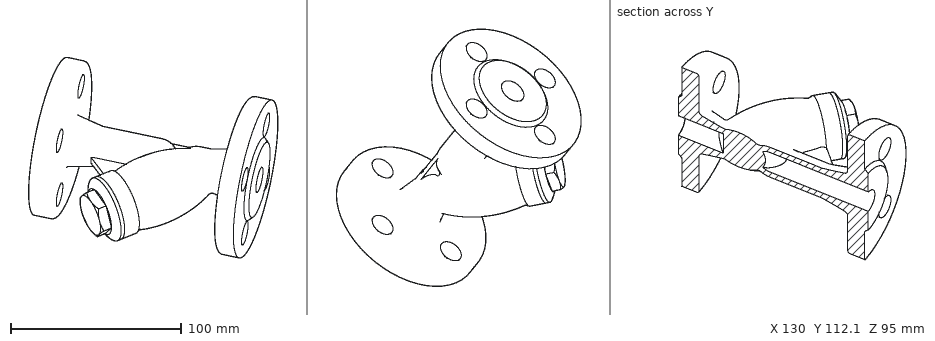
import cadquery as cq
import math


length = 130.0
flange_diameter = 95.0
flange_thickness = 12.0
flange_rim_fillet = 2.0
raised_face_radius = 25.0
raised_face_height = 2.3
bolt_circle_radius = 32.5
bolt_hole_diameter = 14.0
bolt_hole_count = 4

pipe_radius = 12.1
bore_radius = 7.5
neck_radius = 15.7
neck_length = 17.4
neck_fillet = 2.5
inlet_arm_end = 2.7
outlet_arm_end = 26.4

branch_start_x = 32.5
barrel_radius = 20.9
barrel_arc_radius = 75.4
barrel_widest_station = 35.1
barrel_start_station = -1.3
barrel_end_station = 53.4
branch_root_fillet = 2.5
collar_radius = 19.9
collar_station = 56.0
collar_neck_fillet = 1.0

cap_station = 65.9
cap_rim_station = 69.0
cap_rim_chamfer = 0.8
cap_cone_angle = 30.0
hex_across_flats = 25.0
hex_end_station = 78.0
hex_turn_angle = -3.0
hex_chamfer_angle = 30.0

web_thickness = 5.1
web_top_y = 11.7
web_root_y = -9.1

flange_radius = flange_diameter / 2
raised_face_x = length / 2
flange_outer_x = raised_face_x - raised_face_height
flange_inner_x = flange_outer_x - flange_thickness
neck_end_x = flange_inner_x - neck_length

branch_profile_plane = cq.Plane(
    origin=(branch_start_x, 0, 0), xDir=(1, -1, 0), normal=(0, 0, -1)
)

edge_tolerance = 0.01


def circle_at(arm, x, radius):
    """Circular edge of an arm that has the given radius and lies at the given x."""
    return next(
        edge
        for edge in arm.edges("%CIRCLE").vals()
        if math.isclose(edge.Center().x, x, abs_tol=edge_tolerance)
        and math.isclose(edge.radius(), radius, abs_tol=edge_tolerance)
    )


def run_arm(side, arm_end):
    """One flange, its neck and its pipe with a ball end; side is -1 or +1 along X."""
    arm = (
        cq.Workplane("XY")
        .moveTo(arm_end - side * pipe_radius, 0)
        .threePointArc(
            (arm_end - side * pipe_radius * math.sqrt(0.5), pipe_radius * math.sqrt(0.5)),
            (arm_end, pipe_radius),
        )
        .lineTo(side * neck_end_x, pipe_radius)
        .lineTo(side * flange_inner_x, neck_radius)
        .lineTo(side * flange_inner_x, flange_radius)
        .lineTo(side * flange_outer_x, flange_radius)
        .lineTo(side * flange_outer_x, raised_face_radius)
        .lineTo(side * raised_face_x, raised_face_radius - raised_face_height)
        .lineTo(side * raised_face_x, 0)
        .close()
        .revolve(360, (0, 0, 0), (1, 0, 0))
    )
    arm = arm.newObject([circle_at(arm, side * flange_inner_x, neck_radius)]).fillet(neck_fillet)
    rim = circle_at(arm, side * flange_inner_x, flange_radius)
    arm = arm.newObject([rim]).fillet(flange_rim_fillet)
    bolt_holes = (
        cq.Workplane("YZ", origin=(side * flange_outer_x, 0, 0))
        .polarArray(bolt_circle_radius, 180 / bolt_hole_count, 360, bolt_hole_count)
        .circle(bolt_hole_diameter / 2)
        .extrude(-side * flange_thickness)
    )
    return arm.cut(bolt_holes)


def arm_bore(side, arm_end):
    """Flow passage of one arm, with a ball end."""
    depth = abs(side * raised_face_x - arm_end)
    drill = cq.Workplane("YZ", origin=(arm_end, 0, 0)).circle(bore_radius).extrude(side * depth)
    ball = cq.Workplane("XY").sphere(bore_radius).translate((arm_end, 0, 0))
    return drill.union(ball)


def barrel_radius_at(station):
    """Radius of the barrel, whose outline is one circular arc."""
    offset = station - barrel_widest_station
    drop = barrel_arc_radius - math.sqrt(barrel_arc_radius**2 - offset**2)
    return barrel_radius - drop


def branch():
    """Barrel and collar of the strainer branch."""
    barrel_end_radius = barrel_radius_at(barrel_end_station)
    body = (
        cq.Workplane(branch_profile_plane)
        .moveTo(0, barrel_start_station)
        .lineTo(barrel_radius_at(barrel_start_station), barrel_start_station)
        .threePointArc(
            (barrel_radius, barrel_widest_station),
            (barrel_end_radius, barrel_end_station),
        )
        .lineTo(collar_radius, collar_station)
        .lineTo(collar_radius, cap_station)
        .lineTo(0, cap_station)
        .close()
        .revolve(360, (0, 0, 0), (0, 1, 0))
    )
    rings = body.edges("%CIRCLE").vals()
    neck_ring = next(
        ring
        for ring in rings
        if math.isclose(ring.radius(), barrel_end_radius, abs_tol=edge_tolerance)
    )
    return body.newObject([neck_ring]).fillet(collar_neck_fillet)


def web(outline):
    """Flat plate, centred on the XY plane, that fills a crotch between pipe and branch."""
    return cq.Workplane("XY").polyline(outline).close().extrude(web_thickness / 2, both=True)


def saddle_web():
    """Web between the ball ends of the two arms, above the branch."""
    return web(
        [
            (branch_start_x, 0),
            (outlet_arm_end, web_top_y),
            (inlet_arm_end, web_top_y),
            (inlet_arm_end, 0),
        ]
    )


def crotch_web():
    """Web in the acute corner below the inlet arm, cut off level with the collar."""
    collar_drop = collar_station * math.sqrt(0.5)
    collar_centre = (branch_start_x - collar_drop, -collar_drop)
    root_x = branch_start_x - 2 * collar_drop - web_root_y
    return web(
        [
            (root_x, web_root_y),
            collar_centre,
            (branch_start_x, 0),
            (inlet_arm_end, web_root_y),
        ]
    )


def make_housing():
    """Arms, branch and webs in one piece; the bores end blind against the solid branch."""
    barrel = branch()
    run = run_arm(-1, inlet_arm_end).union(run_arm(1, outlet_arm_end)).union(saddle_web())
    outside = run.union(barrel).edges("%BSPLINE").fillet(branch_root_fillet)
    bores = arm_bore(-1, inlet_arm_end).union(arm_bore(1, outlet_arm_end))
    return outside.union(crotch_web()).cut(bores.cut(barrel))


def make_cap():
    """Cap disc with a conical shoulder and a hexagon head."""
    hex_corner_radius = hex_across_flats / math.sqrt(3)
    shoulder_radius = collar_radius - cap_rim_chamfer
    cone_rise = (shoulder_radius - hex_corner_radius) * math.tan(math.radians(cap_cone_angle))
    disc = (
        cq.Workplane(branch_profile_plane)
        .moveTo(0, cap_station)
        .lineTo(collar_radius, cap_station)
        .lineTo(collar_radius, cap_rim_station - cap_rim_chamfer)
        .lineTo(shoulder_radius, cap_rim_station)
        .lineTo(hex_corner_radius, cap_rim_station + cone_rise)
        .lineTo(0, cap_rim_station + cone_rise)
        .close()
        .revolve(360, (0, 0, 0), (0, 1, 0))
    )
    head_plane = cq.Plane(
        origin=branch_profile_plane.toWorldCoords((0, cap_rim_station)),
        xDir=(1, -1, 0),
        normal=(-1, -1, 0),
    )
    head = (
        cq.Workplane(head_plane)
        .transformed(rotate=(0, 0, hex_turn_angle))
        .polygon(6, 2 * hex_corner_radius)
        .extrude(hex_end_station - cap_rim_station)
    )
    flat_radius = hex_across_flats / 2
    corner_drop = (hex_corner_radius - flat_radius) * math.tan(math.radians(hex_chamfer_angle))
    head_envelope = (
        cq.Workplane(branch_profile_plane)
        .moveTo(0, cap_station)
        .lineTo(hex_corner_radius, cap_station)
        .lineTo(hex_corner_radius, hex_end_station - corner_drop)
        .lineTo(flat_radius, hex_end_station)
        .lineTo(0, hex_end_station)
        .close()
        .revolve(360, (0, 0, 0), (0, 1, 0))
    )
    return disc.union(head.intersect(head_envelope))


housing = make_housing()
cap = make_cap()
result = cq.Compound.makeCompound([housing.val(), cap.val()])